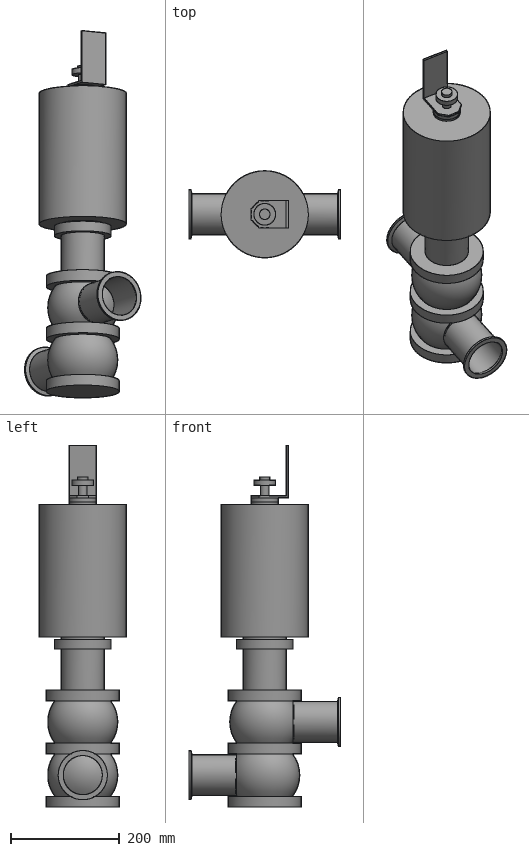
import cadquery as cq
import math

overall_height = 667.0

flange_diameter = 135.0
flange_thickness = 20.0
chamber_gap = 78.0
chamber_radius = 65.0
chamber_pitch = flange_thickness + chamber_gap

branch_headings = [180, 0]
chamber_count = len(branch_headings)
pipe_diameter = 76.0
bore_diameter = 72.0
pipe_reach = 140.0
ferrule_diameter = 91.0
ferrule_rim = 4.0
ferrule_taper = 2.0

neck_diameter = 80.0
collar_diameter = 105.0
collar_bottom = 291.5
collar_thickness = 18.0
actuator_diameter = 161.0
actuator_bottom = 313.5
actuator_height = 245.0
seat_height = 4.0

hub_diameter = 50.0
hub_height = 8.0
sheet_thickness = 4.0
bracket_reach = 43.5
bracket_corner = 15.0
stem_diameter = 16.0
stem_length = 19.0
knob_diameter = 40.0
knob_thickness = 10.0
cap_diameter = 19.5
cap_thickness = 6.0

top_flange_bottom = chamber_count * chamber_pitch
neck_bottom = top_flange_bottom + flange_thickness
actuator_top = actuator_bottom + actuator_height
hub_bottom = actuator_top + seat_height
bracket_bottom = hub_bottom + hub_height
bracket_top = bracket_bottom + sheet_thickness


def disc(diameter, bottom, height):
    """Upright cylinder on the Z axis."""
    return cq.Workplane("XY").workplane(offset=bottom).circle(diameter / 2).extrude(height)


def make_column():
    """Flanges, solid ball chambers, neck, collar and actuator, turned about the Z axis."""
    flange_radius = flange_diameter / 2
    half_gap = chamber_gap / 2
    ball_end_radius = math.sqrt(chamber_radius**2 - half_gap**2)

    outline = cq.Workplane("YZ").lineTo(flange_radius, 0).lineTo(flange_radius, flange_thickness)
    for level in range(chamber_count):
        ball_bottom = level * chamber_pitch + flange_thickness
        ball_top = ball_bottom + chamber_gap
        outline = (
            outline.lineTo(ball_end_radius, ball_bottom)
            .threePointArc((chamber_radius, ball_bottom + half_gap), (ball_end_radius, ball_top))
            .lineTo(flange_radius, ball_top)
            .lineTo(flange_radius, ball_top + flange_thickness)
        )

    collar_top = collar_bottom + collar_thickness
    steps = [
        (neck_diameter, neck_bottom, collar_bottom),
        (collar_diameter, collar_bottom, collar_top),
        (neck_diameter, collar_top, actuator_bottom),
        (actuator_diameter, actuator_bottom, actuator_top),
        (hub_diameter, actuator_top, hub_bottom),
    ]
    for diameter, bottom, top in steps:
        outline = outline.lineTo(diameter / 2, bottom).lineTo(diameter / 2, top)
    return outline.lineTo(0, hub_bottom).close().revolve(360, (0, 0, 0), (0, 1, 0))


def make_branch(center_height, heading):
    """Pipe and ferrule, turned by the heading in degrees from +X; the bore ends at the ball."""
    rim_start = pipe_reach - ferrule_rim
    taper_start = rim_start - ferrule_taper
    pipe_radius = pipe_diameter / 2
    bore_radius = bore_diameter / 2
    ferrule_radius = ferrule_diameter / 2
    profile = [
        (0, bore_radius),
        (0, pipe_radius),
        (taper_start, pipe_radius),
        (rim_start, ferrule_radius),
        (pipe_reach, ferrule_radius),
        (pipe_reach, bore_radius),
    ]
    branch = cq.Workplane("XZ").polyline(profile).close().revolve(360, (0, 0, 0), (1, 0, 0))
    return branch.rotate((0, 0, 0), (0, 0, 1), heading).translate((0, 0, center_height))


def make_valve():
    """Column with one branch per chamber, the lower to -X and the upper to +X, as one body."""
    valve = make_column()
    for level, heading in enumerate(branch_headings):
        center_height = level * chamber_pitch + flange_thickness + chamber_gap / 2
        valve = valve.union(make_branch(center_height, heading))
    return valve


def make_bracket():
    """L-shaped sheet with two clipped corners at the end of its foot."""
    foot_end = -hub_diameter / 2
    angle = (
        cq.Workplane("XZ")
        .moveTo(foot_end, bracket_bottom)
        .lineTo(bracket_reach, bracket_bottom)
        .lineTo(bracket_reach, overall_height)
        .lineTo(bracket_reach - sheet_thickness, overall_height)
        .lineTo(bracket_reach - sheet_thickness, bracket_top)
        .lineTo(foot_end, bracket_top)
        .close()
        .extrude(hub_diameter / 2, both=True)
    )
    return angle.faces("<X").edges("|Z").chamfer(bracket_corner)


def make_indicator():
    """Hub, bracket, stem, knob and cap as one body resting on the actuator seat."""
    knob_bottom = bracket_top + stem_length
    knob_top = knob_bottom + knob_thickness
    indicator = disc(hub_diameter, hub_bottom, hub_height)
    indicator = indicator.union(make_bracket())
    indicator = indicator.union(disc(stem_diameter, bracket_top, stem_length))
    indicator = indicator.union(disc(knob_diameter, knob_bottom, knob_thickness))
    return indicator.union(disc(cap_diameter, knob_top, cap_thickness))


valve = make_valve()
indicator = make_indicator()

result = cq.Compound.makeCompound([valve.val(), indicator.val()])